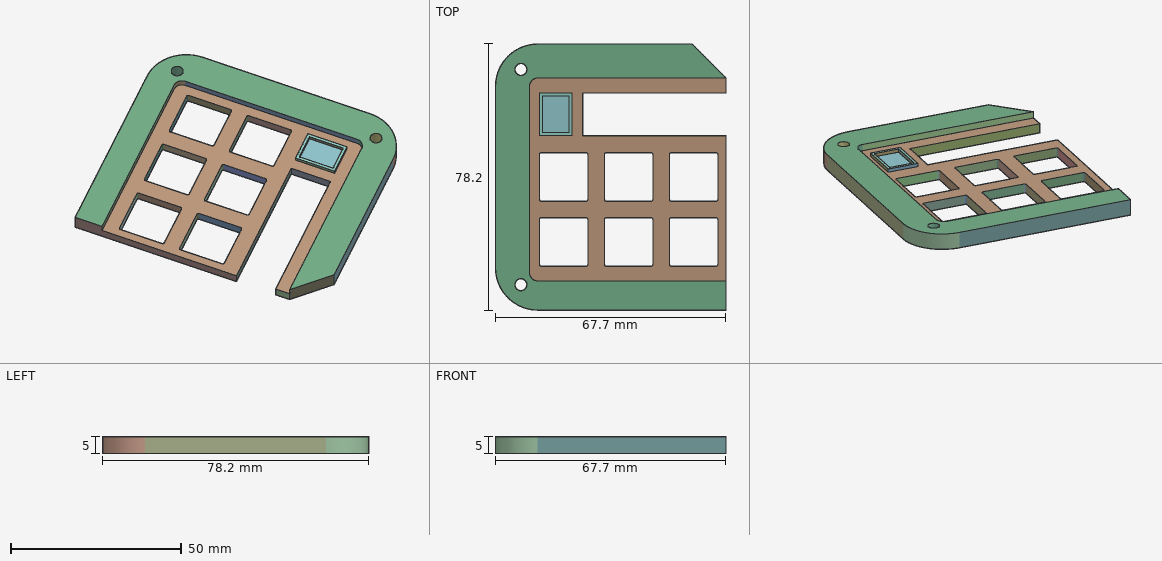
import cadquery as cq

length_x = 67.7
length_y = 78.15
thickness = 5.0
corner_radius = 12.5

rim_width = 10.0
rim_width_bottom = 8.6
corner_chamfer = rim_width
recess_depth = 2.0
recess_radius = corner_radius - rim_width
floor_z = thickness - recess_depth

hole_diameter = 3.4
hole_inset = 7.5

window_size = 14.15
window_radius = 0.5
window_pitch = 19.1
window_columns = 3
window_rows = 2
window_left = 13.0
window_bottom = 13.0

slot_left = 25.7
slot_width = 12.4
slot_inset_top = 14.45
slot_bottom = length_y - slot_inset_top - slot_width

frame_length_x = 9.5
frame_wall = 0.85
frame_height = 1.0


def box(left, bottom, size_x, size_y, base_z, height):
    """Upright block given by its lower left corner and its sizes."""
    corner = (left, bottom, base_z)
    return cq.Workplane("XY").box(size_x, size_y, height, centered=False).translate(corner)


def make_plate():
    plate = box(0, 0, length_x, length_y, 0, thickness)
    plate = plate.edges("|Z and <X").fillet(corner_radius)
    return plate.edges("|Z and >X and >Y").chamfer(corner_chamfer)


def make_recess():
    size_x = length_x - rim_width
    size_y = length_y - rim_width - rim_width_bottom
    recess = box(rim_width, rim_width_bottom, size_x, size_y, floor_z, recess_depth)
    return recess.edges("|Z and <X").fillet(recess_radius)


def make_holes():
    centers = [(hole_inset, hole_inset), (hole_inset, length_y - hole_inset)]
    return cq.Workplane("XY").pushPoints(centers).circle(hole_diameter / 2).extrude(thickness)


def make_windows():
    windows = cq.Workplane("XY")
    for column in range(window_columns):
        for row in range(window_rows):
            left = window_left + column * window_pitch
            bottom = window_bottom + row * window_pitch
            window = box(left, bottom, window_size, window_size, 0, thickness)
            windows = windows.add(window.edges("|Z").fillet(window_radius))
    return windows.combine()


def make_slot():
    return box(slot_left, slot_bottom, length_x - slot_left, slot_width, 0, thickness)


def make_frame():
    """Open rectangular frame standing on the recessed floor."""
    outer = box(window_left, slot_bottom, frame_length_x, slot_width, floor_z, frame_height)
    inner = box(
        window_left + frame_wall,
        slot_bottom + frame_wall,
        frame_length_x - 2 * frame_wall,
        slot_width - 2 * frame_wall,
        floor_z,
        frame_height,
    )
    return outer.cut(inner)


body = make_plate().cut(make_recess()).cut(make_holes()).cut(make_windows()).cut(make_slot())
result = body.union(make_frame())